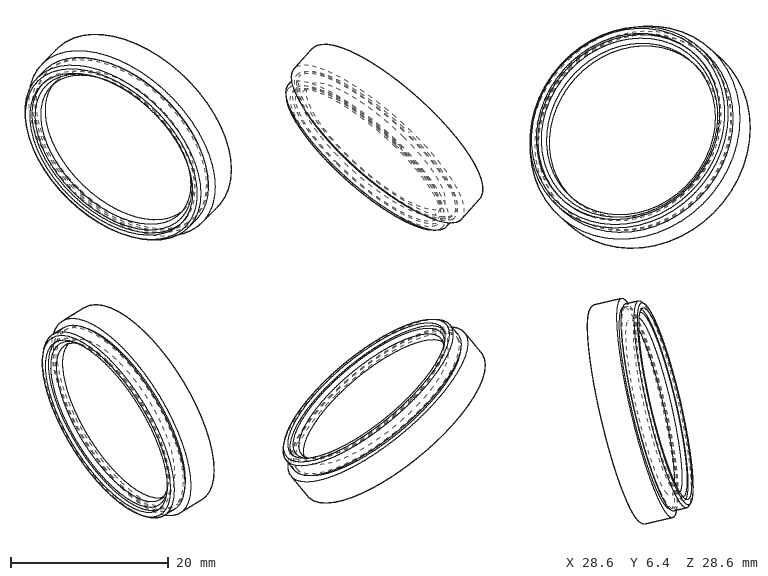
import cadquery as cq

thickness = 6.4
body_length = 4.0
groove_width = 0.35
back_y = thickness / 2
front_y = -back_y
shoulder_y = back_y - body_length
collar_back_y = shoulder_y - groove_width

body_diameter = 28.6
collar_diameter = 27.0
groove_diameter = 26.3
mouth_diameter = 24.97
taper_diameter = 24.02
recess_diameter = 23.0

back_fillet = 0.5
collar_chamfer = 0.35
mouth_depth = 0.5
entry_chamfer = (taper_diameter - recess_diameter) / 2
recess_depth = 2.0


def disc(diameter, start_y, end_y):
    """Solid cylinder about the Y axis between two Y positions."""
    plane = cq.Workplane("XZ", origin=(0, end_y, 0))
    return plane.circle(diameter / 2).extrude(end_y - start_y)


body = disc(body_diameter, shoulder_y, back_y).faces(">Y").edges().fillet(back_fillet)

neck = disc(groove_diameter, collar_back_y, shoulder_y)
collar = disc(collar_diameter, front_y, collar_back_y).faces("<Y").edges().chamfer(collar_chamfer)

mouth = disc(mouth_diameter, front_y, front_y + mouth_depth)
recess = disc(recess_diameter, front_y + mouth_depth, front_y + recess_depth)

lead_in = cq.Workplane("XY").add(
    cq.Solid.makeCone(
        taper_diameter / 2,
        recess_diameter / 2,
        entry_chamfer,
        pnt=cq.Vector(0, front_y + mouth_depth, 0),
        dir=cq.Vector(0, 1, 0),
    )
)

result = body.union(neck).union(collar).cut(mouth).cut(recess).cut(lead_in)